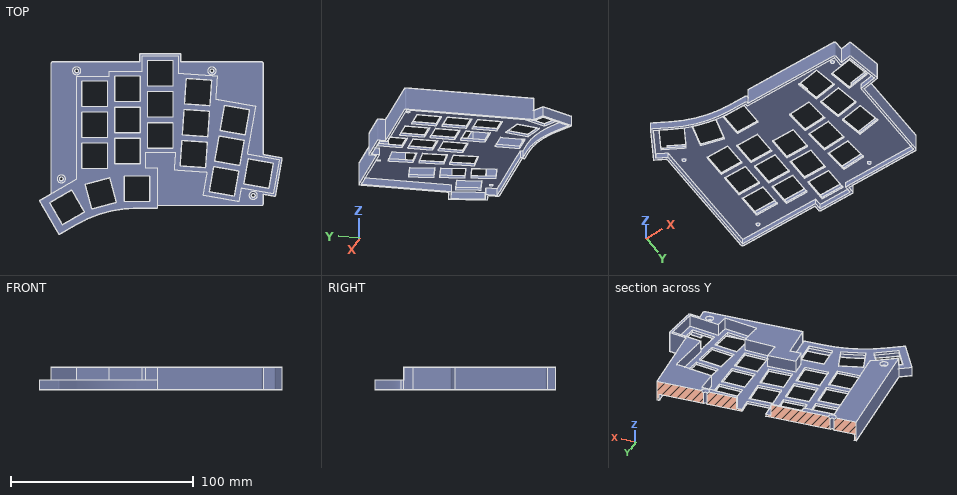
import cadquery as cq
import math

TOTAL_HEIGHT = 12.5
PLATE_TOP = 5.5
PLATE_THICKNESS = 1.5
PLATE_UNDERSIDE = PLATE_TOP - PLATE_THICKNESS

CASE_WIDTH = 116.5
CASE_DEPTH = 78.9
CORNER_RADIUS = 1.2
SMALL_CORNER_RADIUS = 0.5
WALL = 1.3

SWITCH_OPENING = 13.8
ROW_PITCH = 17.0
ROWS = 3
CLEARANCE_HALF_WIDTH = 10.0
CLEARANCE_HALF_DEPTH = 9.5
OUTER_HALF_WIDTH = CLEARANCE_HALF_WIDTH + WALL
OUTER_HALF_DEPTH = CLEARANCE_HALF_DEPTH + WALL
COLUMN_HALF_DEPTH = CLEARANCE_HALF_DEPTH + ROW_PITCH * (ROWS - 1) / 2

COLUMN_PITCH = 18.0
PINKY_X = 24.0
PINKY_COLUMN = (PINKY_X, 44.3, 0)
RING_COLUMN = (PINKY_X + COLUMN_PITCH, 47.0, 0)
MIDDLE_COLUMN = (PINKY_X + 2 * COLUMN_PITCH, 55.5, 0)
INDEX_COLUMN = (79.5, 45.3, -4)
INNER_COLUMN = (97.8, 30.1, -10)
COLUMNS = [PINKY_COLUMN, RING_COLUMN, MIDDLE_COLUMN, INDEX_COLUMN, INNER_COLUMN]
GAP_OVERLAP = 3.3

SIDE_KEY = (113.8, 17.6, -10)

FAN_RADIUS = 76.5
FAN_STEP = 15
THUMB_COUNT = 3
FAN_CENTER_X = 47.1
FIRST_THUMB_Y = 9.3
FAN_CENTER_Y = FIRST_THUMB_Y - FAN_RADIUS

SCREW_POINTS = [(14.1, 73.9), (88.2, 73.9), (5.7, 14.6), (110.9, 5.6)]
SCREW_DIAMETER = 2.0
COUNTERSINK_DIAMETER = 4.4
COUNTERSINK_ANGLE = 80


def place(frame, x, y):
    """Point (x, y) of a rotated key or column frame, in case coordinates."""
    center_x, center_y, angle = frame
    c = math.cos(math.radians(angle))
    s = math.sin(math.radians(angle))
    return (center_x + x * c - y * s, center_y + x * s + y * c)


def prism(points, height):
    return cq.Workplane("XY").polyline(points).close().extrude(height)


def rectangle(frame, half_width, half_depth, height):
    """Rectangular prism standing on the base plane, centred on a rotated frame."""
    corners = [(-half_width, -half_depth), (half_width, -half_depth),
               (half_width, half_depth), (-half_width, half_depth)]
    return prism([place(frame, x, y) for x, y in corners], height)


def thumb_key(index):
    """Frame of a thumb key, counted from the one nearest the case centre."""
    angle = index * FAN_STEP
    return place((FAN_CENTER_X, FAN_CENTER_Y, angle), 0, FAN_RADIUS) + (angle,)


THUMB_KEYS = [thumb_key(index) for index in range(THUMB_COUNT)]


def column_keys(column):
    offsets = [(row - (ROWS - 1) / 2) * ROW_PITCH for row in range(ROWS)]
    return [place(column, 0, offset) + (column[2],) for offset in offsets]


def thumb_cluster(height):
    """Thumb area: straight ends joined by an arc along the front edge."""
    first, middle, last = THUMB_KEYS
    tip = place(last, -OUTER_HALF_WIDTH, OUTER_HALF_DEPTH)
    left_x = PINKY_X - CLEARANCE_HALF_WIDTH
    left_y = tip[1] + (left_x - tip[0]) * math.tan(math.radians(last[2]))
    front_left = place(last, -OUTER_HALF_WIDTH, -OUTER_HALF_DEPTH)
    front_right = place(first, OUTER_HALF_WIDTH, -OUTER_HALF_DEPTH)
    back_y = RING_COLUMN[1] - COLUMN_HALF_DEPTH
    cluster = (
        cq.Workplane("XY")
        .moveTo(*tip)
        .lineTo(*front_left)
        .lineTo(*place(last, 0, -OUTER_HALF_DEPTH))
        .threePointArc(place(middle, 0, -OUTER_HALF_DEPTH), place(first, 0, -OUTER_HALF_DEPTH))
        .lineTo(*front_right)
        .lineTo(front_right[0], back_y)
        .lineTo(left_x, back_y)
        .lineTo(left_x, left_y)
        .close()
        .extrude(height)
    )
    for corner in (front_left, front_right):
        edge = cq.selectors.NearestToPointSelector((*corner, height / 2))
        cluster = cluster.edges("|Z").edges(edge).fillet(SMALL_CORNER_RADIUS)
    return cluster


def main_block():
    block = cq.Workplane("XY").rect(CASE_WIDTH, CASE_DEPTH).extrude(TOTAL_HEIGHT)
    block = block.edges("|Z").fillet(CORNER_RADIUS)
    return block.translate((CASE_WIDTH / 2, CASE_DEPTH / 2, 0))


def tab(frame, half_depth):
    """Full-height surround of keys that stick out past the main block."""
    block = rectangle(frame, OUTER_HALF_WIDTH, half_depth, TOTAL_HEIGHT)
    return block.edges("|Z").fillet(SMALL_CORNER_RADIUS)


def outer_shell():
    middle_tab = tab(MIDDLE_COLUMN, COLUMN_HALF_DEPTH + WALL)
    side_tab = tab(SIDE_KEY, OUTER_HALF_DEPTH)
    return main_block().union(middle_tab).union(side_tab).union(thumb_cluster(PLATE_TOP))


def gap_filler(column):
    """Wedge that extends the back edge of a tilted column into the column on its left."""
    points = [
        place(column, -CLEARANCE_HALF_WIDTH - GAP_OVERLAP, COLUMN_HALF_DEPTH),
        place(column, -CLEARANCE_HALF_WIDTH, COLUMN_HALF_DEPTH),
        place(column, -CLEARANCE_HALF_WIDTH, 0),
    ]
    return prism(points, TOTAL_HEIGHT)


def key_recess():
    """Keycap clearance above the switch plate."""
    recess = thumb_cluster(TOTAL_HEIGHT)
    for column in COLUMNS:
        recess = recess.union(
            rectangle(column, CLEARANCE_HALF_WIDTH, COLUMN_HALF_DEPTH, TOTAL_HEIGHT))
    recess = recess.union(
        rectangle(SIDE_KEY, CLEARANCE_HALF_WIDTH, CLEARANCE_HALF_DEPTH, TOTAL_HEIGHT))
    for column in (INDEX_COLUMN, INNER_COLUMN):
        recess = recess.union(gap_filler(column))
    return recess.translate((0, 0, PLATE_TOP))


def underside_cavity(shell):
    """Hollow below the switch plate, one wall thickness inside the outline."""
    outline = shell.faces("<Z").wires().toPending().offset2D(-WALL, "intersection")
    return outline.extrude(PLATE_UNDERSIDE, combine=False)


def switch_openings():
    keys = [key for column in COLUMNS for key in column_keys(column)]
    keys += [SIDE_KEY] + THUMB_KEYS
    half = SWITCH_OPENING / 2
    openings = cq.Workplane("XY")
    for key in keys:
        openings = openings.add(rectangle(key, half, half, PLATE_TOP))
    return openings.combine()


shell = outer_shell()
body = shell.cut(key_recess())
body = body.cut(underside_cavity(shell))
body = body.cut(switch_openings())
result = (
    body.faces(">Z")
    .workplane(origin=(0, 0, TOTAL_HEIGHT))
    .pushPoints(SCREW_POINTS)
    .cskHole(SCREW_DIAMETER, COUNTERSINK_DIAMETER, COUNTERSINK_ANGLE)
)